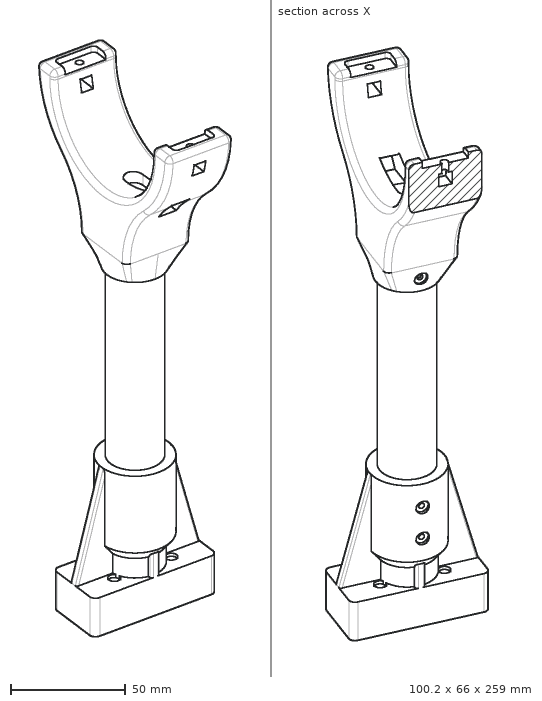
import cadquery as cq
import math

total_height = 259.0

base_width = 31.0
base_length = 66.0
base_height = 20.0
base_corner_radius = 3.0
neck_radius = 13.7
neck_top_z = 30.0
collar_radius = 36.0 / 2
collar_bottom_z = 35.5
collar_top_z = 75.0
rib_thickness = 4.7
rib_edge_radius = 1.0
recess_x = 6.0
recess_y = 15.3
recess_radius = 2.8
recess_depth = 1.5

tube_radius = 26.2 / 2
tube_bottom_z = collar_bottom_z
tube_top_z = 212.2

screw_radius = 1.3
screw_head_radius = 3.0
screw_head_depth = 1.5
collar_screw_heights = (47.0, 63.0)
fork_screw_z = 180.3

arm_radius = 100.3 / 2
fork_depth = 35.0
fork_edge_radius = 2.5
fork_socket_bottom_z = 173.3
fork_socket_bottom_radius = 15.0
fork_stem_bottom_z = 187.8
cradle_radius = 37.5
cradle_centre_z = 255.2

tip_pocket_length = 21.8
tip_pocket_outer_x = 46.0
tip_pocket_depth = 3.0
tip_pocket_corner_radius = 2.0
tip_screw_x = 42.2
tip_screw_radius = 1.8
nut_slot_size = 6.2
nut_slot_top_z = 250.8
cable_slot_width = 9.3
cable_slot_start_x = -5.5
cable_slot_top_z = 223.0


def side_screw_hole(height, wall_x):
    """Stepped hole entering along +X from the -X side, with its mouth at wall_x, ending on the axis."""
    mouth = cq.Workplane("YZ", origin=(-wall_x, 0, height))
    shank = mouth.circle(screw_radius).extrude(wall_x)
    outside = cq.Workplane("YZ", origin=(-base_length, 0, height))
    head = outside.circle(screw_head_radius).extrude(base_length - wall_x + screw_head_depth)
    return shank.union(head)


def long_ribs():
    """Two sloping ribs along Y, from the ends of the base up to the top of the collar."""
    outline = [
        (-base_length / 2, base_height),
        (base_length / 2, base_height),
        (collar_radius, collar_top_z),
        (-collar_radius, collar_top_z),
    ]
    ribs = cq.Workplane("YZ").polyline(outline).close().extrude(rib_thickness / 2, both=True)
    return ribs.faces(">Y or <Y").edges("not |X").fillet(rib_edge_radius)


def short_ribs():
    """Two upright ribs along X, flush with the base sides and running up into the cone."""
    height = collar_bottom_z - base_height
    ribs = cq.Workplane("XY", origin=(0, 0, base_height)).rect(base_width, rib_thickness).extrude(height)
    return ribs.edges("|Z").fillet(rib_edge_radius)


def socket_body():
    """Neck, cone and collar turned about the Z axis; the neck reaches down to the recess floors."""
    neck_bottom_z = base_height - recess_depth
    outline = [
        (0, neck_bottom_z),
        (neck_radius, neck_bottom_z),
        (neck_radius, neck_top_z),
        (collar_radius, collar_bottom_z),
        (collar_radius, collar_top_z),
        (0, collar_top_z),
    ]
    return cq.Workplane("XZ").polyline(outline).close().revolve()


def base_recesses():
    """Four shallow round recesses in the top of the base, close around the neck."""
    return (
        cq.Workplane("XY", origin=(0, 0, base_height - recess_depth))
        .rect(2 * recess_x, 2 * recess_y, forConstruction=True)
        .vertices()
        .circle(recess_radius)
        .extrude(recess_depth)
    )


def make_base():
    block = cq.Workplane("XY").rect(base_width, base_length).extrude(base_height)
    block = block.edges("|Z").fillet(base_corner_radius)
    block = block.cut(base_recesses())
    body = block.union(long_ribs()).union(short_ribs()).union(socket_body())
    bore = cq.Workplane("XY", origin=(0, 0, tube_bottom_z)).circle(tube_radius)
    body = body.cut(bore.extrude(total_height))
    for height in collar_screw_heights:
        body = body.cut(side_screw_hole(height, collar_radius))
    return body


def make_tube():
    return (
        cq.Workplane("XY", origin=(0, 0, tube_bottom_z))
        .circle(tube_radius)
        .extrude(tube_top_z - tube_bottom_z)
    )


def fork_yoke():
    """Two-armed yoke: flanks flare from the stem by a hollow arc into a round arc about the tip level."""
    stem_half = fork_depth / 2
    drop = total_height - fork_stem_bottom_z
    flare_radius = (stem_half**2 + drop**2 - arm_radius**2) / (2 * (arm_radius - stem_half))
    flare_centre_x = stem_half + flare_radius
    join_angle = math.atan2(drop, flare_centre_x)
    join = (arm_radius * math.cos(join_angle), total_height - arm_radius * math.sin(join_angle))
    arm_mid = (
        arm_radius * math.cos(join_angle / 2),
        total_height - arm_radius * math.sin(join_angle / 2),
    )
    flare_mid = (
        flare_centre_x - flare_radius * math.cos(join_angle / 2),
        fork_stem_bottom_z + flare_radius * math.sin(join_angle / 2),
    )
    yoke = (
        cq.Workplane("XZ")
        .moveTo(stem_half, fork_stem_bottom_z)
        .threePointArc(flare_mid, join)
        .threePointArc(arm_mid, (arm_radius, total_height))
        .lineTo(cradle_radius, total_height)
        .lineTo(cradle_radius, cradle_centre_z)
        .threePointArc((0, cradle_centre_z - cradle_radius), (-cradle_radius, cradle_centre_z))
        .lineTo(-cradle_radius, total_height)
        .lineTo(-arm_radius, total_height)
        .threePointArc((-arm_mid[0], arm_mid[1]), (-join[0], join[1]))
        .threePointArc((-flare_mid[0], flare_mid[1]), (-stem_half, fork_stem_bottom_z))
        .close()
        .extrude(fork_depth / 2, both=True)
    )
    return yoke.faces("<Y or >Y or >Z").edges("not <Z").fillet(fork_edge_radius)


def fork_socket():
    """Transition from the square stem down to a round mouth."""
    square = cq.Sketch().rect(fork_depth, fork_depth).vertices().fillet(fork_edge_radius)
    mouth = cq.Sketch().circle(fork_socket_bottom_radius)
    depth = fork_stem_bottom_z - fork_socket_bottom_z
    return (
        cq.Workplane("XY", origin=(0, 0, fork_stem_bottom_z))
        .placeSketch(square, mouth.moved(cq.Location(cq.Vector(0, 0, -depth))))
        .loft()
    )


def tip_cuts(side):
    """Pocket, screw hole and square nut slot in one tip; side is -1 or +1 along X."""
    pocket_width = tip_pocket_outer_x - cradle_radius
    pocket = (
        cq.Workplane("XY", origin=(side * (tip_pocket_outer_x - pocket_width), 0, total_height))
        .rect(2 * pocket_width, tip_pocket_length)
        .extrude(-tip_pocket_depth)
        .edges("|Z")
        .fillet(tip_pocket_corner_radius)
    )
    screw = (
        cq.Workplane("XY", origin=(side * tip_screw_x, 0, total_height))
        .circle(tip_screw_radius)
        .extrude(nut_slot_top_z - total_height)
    )
    nut_slot = cq.Workplane("XY").box(arm_radius, nut_slot_size, nut_slot_size)
    nut_slot = nut_slot.translate((side * arm_radius, 0, nut_slot_top_z - nut_slot_size / 2))
    return pocket.union(screw).union(nut_slot)


def cable_slot():
    """Level slot over the end of the tube, from the bottom of the cradle out through the +X flank."""
    half_width = cable_slot_width / 2
    round_centre_x = cable_slot_start_x + half_width
    return (
        cq.Workplane("XY", origin=(0, 0, tube_top_z))
        .moveTo(arm_radius, -half_width)
        .lineTo(round_centre_x, -half_width)
        .threePointArc((cable_slot_start_x, 0), (round_centre_x, half_width))
        .lineTo(arm_radius, half_width)
        .close()
        .extrude(cable_slot_top_z - tube_top_z)
    )


def make_fork():
    fork = fork_yoke().union(fork_socket())
    bore = cq.Workplane("XY", origin=(0, 0, fork_socket_bottom_z)).circle(tube_radius)
    fork = fork.cut(bore.extrude(tube_top_z - fork_socket_bottom_z))
    for side in (-1, 1):
        fork = fork.cut(tip_cuts(side))
    fork = fork.cut(cable_slot())
    taper = (fork_screw_z - fork_socket_bottom_z) / (fork_stem_bottom_z - fork_socket_bottom_z)
    wall_x = fork_socket_bottom_radius + taper * (fork_depth / 2 - fork_socket_bottom_radius)
    return fork.cut(side_screw_hole(fork_screw_z, wall_x))


base = make_base()
tube = make_tube()
fork = make_fork()
result = cq.Compound.makeCompound([base.val(), tube.val(), fork.val()])